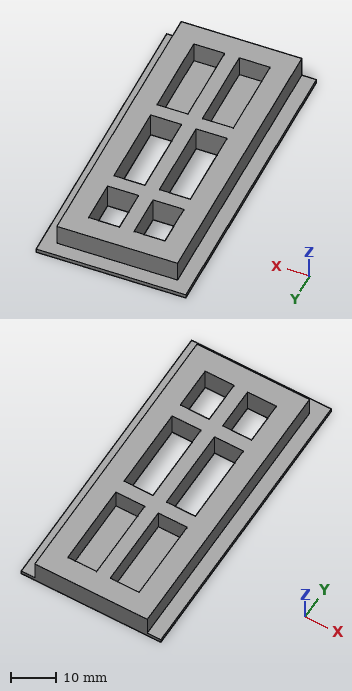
import cadquery as cq

total_width = 35.9
total_length = 72.7
total_height = 6.25

plate_thickness = 1.0
frame_border = 3.5
door_width = total_width - 2 * frame_border
door_length = total_length - frame_border

bar_width = 3.5
door_margin = 5.3
opening_width = (door_width - 2 * door_margin - bar_width) / 2
long_opening = 20.5
short_opening = door_length - 2 * door_margin - 2 * bar_width - 2 * long_opening


def block(width, length, height, y_start, z_start):
    """Box centred on X, starting at the given Y and Z."""
    return cq.Workplane("XY").box(width, length, height, centered=(True, False, False)).translate(
        (0, y_start, z_start)
    )


def opening_pair(length, y_start, z_start):
    """Cutters for the left and right openings of one row."""
    column_offset = (opening_width + bar_width) / 2
    cutter = block(opening_width, length, total_height - z_start, y_start, z_start)
    return cutter.translate((-column_offset, 0, 0)).union(cutter.translate((column_offset, 0, 0)))


plate = block(total_width, total_length, plate_thickness, 0, 0)
door = block(door_width, door_length, total_height - plate_thickness, 0, plate_thickness)
result = plate.union(door)

rows = [
    (long_opening, plate_thickness),
    (long_opening, 0),
    (short_opening, 0),
]
row_start = door_margin
for row_length, floor_level in rows:
    result = result.cut(opening_pair(row_length, row_start, floor_level))
    row_start += row_length + bar_width